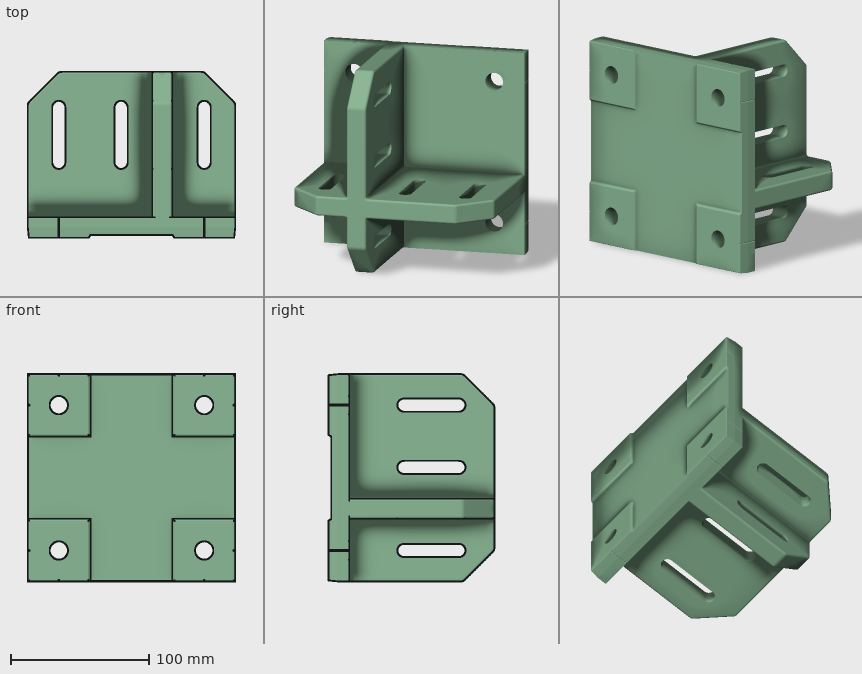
import cadquery as cq

base_size = 150.0
half_size = base_size / 2
base_thickness = 15.0
parting_height = base_thickness / 2
draft_angle = 6.0
overall_depth = 120.0

relief_depth = 2.0
relief_floor_width = 59.1
relief_mouth_width = 62.1
pad_edge_radius = 0.6
bolt_pitch = 105.0
bolt_hole_diameter = 13.0

groove_width = 0.9
groove_depth = 0.6

plate_thickness = 14.4
plate_inner_offset = 15.0
plate_center = plate_inner_offset + plate_thickness / 2
corner_chamfer = 22.8
corner_radius = 4.0
plate_edge_radius = 1.6
junction_radius = 1.5

slot_positions = (-52.5, -7.5, 52.5)
slot_width = 9.3
slot_length = 49.0
slot_center_depth = 74.4


def make_base():
    """Square block with drafted front half, relieved between its corner pads."""
    middle = cq.Workplane("XZ", origin=(0, parting_height, 0)).rect(base_size, base_size)
    front = middle.extrude(parting_height, taper=draft_angle)
    rear = cq.Workplane("XZ", origin=(0, base_thickness, 0)).rect(base_size, base_size)
    base = rear.extrude(parting_height).union(front)

    channel = (
        cq.Workplane("XY")
        .polyline([
            (-relief_mouth_width / 2, 0),
            (relief_mouth_width / 2, 0),
            (relief_floor_width / 2, relief_depth),
            (-relief_floor_width / 2, relief_depth),
        ])
        .close()
        .extrude(half_size, both=True)
    )
    base = base.cut(channel)
    base = base.cut(channel.rotate((0, 0, 0), (0, 1, 0), 90))
    return base.faces("<Y").edges().fillet(pad_edge_radius)


def make_plate():
    """Plate lying in the XY plane, centered on Z = 0, with two beveled corners."""
    plate = (
        cq.Workplane("XY", origin=(0, 0, -plate_thickness / 2))
        .moveTo(-half_size, parting_height)
        .lineTo(half_size, parting_height)
        .lineTo(half_size, overall_depth - corner_chamfer)
        .lineTo(half_size - corner_chamfer, overall_depth)
        .lineTo(corner_chamfer - half_size, overall_depth)
        .lineTo(-half_size, overall_depth - corner_chamfer)
        .close()
        .extrude(plate_thickness)
    )
    bevel_corners = cq.selectors.BoxSelector(
        (-base_size, base_thickness, -base_size), (base_size, base_size, base_size)
    )
    return plate.edges("|Z").edges(bevel_corners).fillet(corner_radius)


def place_flat(body):
    """Move a body from the XY plane to the level of the horizontal plate."""
    return body.translate((0, 0, -plate_center))


def place_upright(body):
    """Turn a body from the XY plane up to the position of the upright plate."""
    return body.rotate((0, 0, 0), (0, 1, 0), 90).translate((plate_center, 0, 0))


def make_crossed_plates():
    """Both plates joined by concave fillets, with rounded outer edges."""
    plate = make_plate()
    cross = place_flat(plate).union(place_upright(plate))
    inner_corners = cq.selectors.BoxSelector(
        (plate_center - plate_thickness, 0, -plate_center - plate_thickness),
        (plate_center + plate_thickness, overall_depth, -plate_center + plate_thickness),
    )
    cross = cross.edges("|Y").edges(inner_corners).fillet(junction_radius)
    return cross.faces(">Y").edges("%CIRCLE").fillet(plate_edge_radius)


def cut_bolt_holes(body):
    holes = (
        cq.Workplane("XZ", origin=(0, base_thickness, 0))
        .rect(bolt_pitch, bolt_pitch, forConstruction=True)
        .vertices()
        .circle(bolt_hole_diameter / 2)
        .extrude(base_thickness)
    )
    return body.cut(holes)


def cut_slots(body):
    slots = (
        cq.Workplane("XY")
        .pushPoints([(position, slot_center_depth) for position in slot_positions])
        .slot2D(slot_length, slot_width, 90)
        .extrude(plate_thickness, both=True)
    )
    return body.cut(place_flat(slots)).cut(place_upright(slots))


def make_groove_cutter(position):
    """V-shaped bar along Y on the +Z side, its front half leaning with the draft."""
    profile = [
        (position - groove_width / 2, half_size),
        (position, half_size - groove_depth),
        (position + groove_width / 2, half_size),
    ]
    rear = (
        cq.Workplane("XZ", origin=(0, base_thickness, 0))
        .polyline(profile)
        .close()
        .extrude(base_thickness - parting_height)
    )
    front = (
        cq.Workplane("XZ", origin=(0, parting_height, 0))
        .polyline(profile)
        .close()
        .extrude(base_thickness)
        .rotate((0, parting_height, half_size), (1, parting_height, half_size), draft_angle)
    )
    return rear.union(front)


def cut_witness_grooves(body):
    for position in (-bolt_pitch / 2, bolt_pitch / 2):
        cutter = make_groove_cutter(position)
        for turn in range(4):
            body = body.cut(cutter.rotate((0, 0, 0), (0, 1, 0), 90 * turn))
    return body


base = cut_witness_grooves(make_base())
bracket = base.union(make_crossed_plates())
result = cut_bolt_holes(cut_slots(bracket))